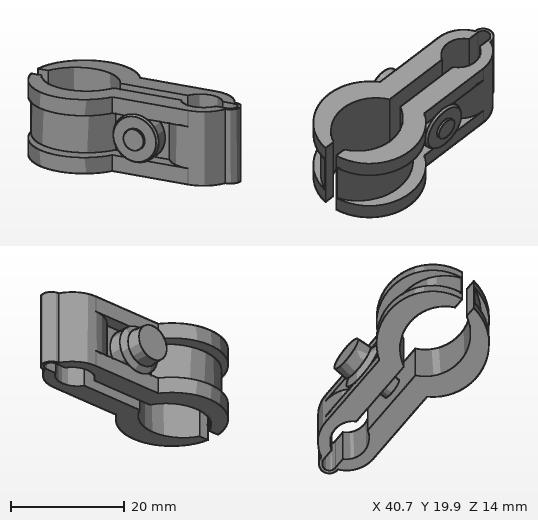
import cadquery as cq
import math

length = 40.7
height = 14.0
width = 19.9
slit_half = 1.3
arm_half = 5.45

ring_radius = width / 2
ring_x = math.sqrt(ring_radius**2 - slit_half**2)
bore_x = 9.2
bore_top = 5.75
bore_half_width = 7.15

small_x = 33.2
small_top = 3.3
small_half_width = 3.45
tail_radius = 6.15
spring_wall = 0.55
spring_outer = slit_half + spring_wall
spring_x = length - spring_outer

flange_thickness = 3.05
recess_height = height - 2 * flange_thickness
recess_floor = 2.95
ring_web = 7.57

pin_x = 22.9
seat_radius = 4.5
front_seat_end = 5.95
seat_chamfer_length = 0.5
seat_face_radius = 4.25
dome_top = 6.3

shaft_radius = 2.0
shaft_end = 6.45
neck_radius = 1.75
knob_start = 6.5
knob_end = 9.15
knob_radius = 3.55
knob_end_radius = 3.35


def lens_center_y(half_width, top):
    """Centre Y of the arc that spans half_width at the slit and peaks at top."""
    rise = top - slit_half
    return top - (half_width**2 + rise**2) / (2 * rise)


def arc_point(x, y, radius, degrees):
    angle = math.radians(degrees)
    return (x + radius * math.cos(angle), y + radius * math.sin(angle))


def circle_x_offset(radius, center_y, y):
    """Horizontal distance from a circle's centre to its edge at height y."""
    return math.sqrt(radius**2 - (y - center_y) ** 2)


def upper_intersection(x1, y1, r1, x2, y2, r2):
    """Upper crossing point of two circles, the first one lying to the left."""
    gap = math.hypot(x2 - x1, y2 - y1)
    along = (gap**2 + r1**2 - r2**2) / (2 * gap)
    across = math.sqrt(r1**2 - along**2)
    ux = (x2 - x1) / gap
    uy = (y2 - y1) / gap
    return (x1 + along * ux - across * uy, y1 + along * uy + across * ux)


def revolve_about_pin(profile):
    """Revolve a (radius, Y) profile about the pin axis."""
    return profile.close().revolve(360, (0, 0, 0), (0, 1, 0)).translate((pin_x, 0, 0))


bore_y = lens_center_y(bore_half_width, bore_top)
tail_y = arm_half - tail_radius


def jaw_blank():
    """The +Y half of the clamp at full height."""
    arm_start_x = ring_x + circle_x_offset(ring_radius, 0, arm_half)
    spring_start = upper_intersection(small_x, tail_y, tail_radius, spring_x, 0, spring_outer)
    return (
        cq.Workplane("XY").workplane(offset=-height / 2)
        .moveTo(0, slit_half)
        .threePointArc((ring_x, ring_radius), (arm_start_x, arm_half))
        .lineTo(small_x, arm_half)
        .threePointArc(arc_point(small_x, tail_y, tail_radius, 60), spring_start)
        .threePointArc(arc_point(spring_x, 0, spring_outer, 45), (length, 0))
        .lineTo(length - spring_wall, 0)
        .threePointArc(arc_point(spring_x, 0, slit_half, 45), (spring_x, slit_half))
        .lineTo(small_x + small_half_width, slit_half)
        .threePointArc((small_x, small_top), (small_x - small_half_width, slit_half))
        .lineTo(bore_x + bore_half_width, slit_half)
        .threePointArc((bore_x, bore_top), (bore_x - bore_half_width, slit_half))
        .close()
        .extrude(height)
    )


def side_recess():
    """Recess concentric with the bore at one end and the tail at the other."""
    web_radius = ring_web - bore_y
    tip_x = bore_x - circle_x_offset(web_radius, bore_y, slit_half)
    floor_start_x = bore_x + circle_x_offset(web_radius, bore_y, recess_floor)
    floor_end_x = small_x - circle_x_offset(tail_radius, tail_y, recess_floor)
    return (
        cq.Workplane("XY").workplane(offset=-recess_height / 2)
        .moveTo(tip_x, slit_half)
        .threePointArc((bore_x, ring_web), (floor_start_x, recess_floor))
        .lineTo(floor_end_x, recess_floor)
        .threePointArc(arc_point(small_x, tail_y, tail_radius, 120), (small_x, arm_half))
        .lineTo(small_x, width)
        .lineTo(tip_x, width)
        .close()
        .extrude(recess_height)
    )


def front_seat():
    """Round boss with a tapered rim on the -Y jaw."""
    return revolve_about_pin(
        cq.Workplane("XY")
        .moveTo(0, -recess_floor)
        .lineTo(seat_radius, -recess_floor)
        .lineTo(seat_radius, -front_seat_end + seat_chamfer_length)
        .lineTo(seat_face_radius, -front_seat_end)
        .lineTo(0, -front_seat_end)
    )


def domed_seat():
    """Round boss with a spherical cap on the +Y jaw; the cap peaks at the pin hole."""
    drop = dome_top - arm_half
    sphere_y = (dome_top + arm_half) / 2 - (seat_radius**2 - shaft_radius**2) / (2 * drop)
    sphere_radius = math.hypot(seat_radius, arm_half - sphere_y)
    mid_radius = (seat_radius + shaft_radius) / 2
    mid_y = sphere_y + math.sqrt(sphere_radius**2 - mid_radius**2)
    return revolve_about_pin(
        cq.Workplane("XY")
        .moveTo(0, recess_floor)
        .lineTo(seat_radius, recess_floor)
        .lineTo(seat_radius, arm_half)
        .threePointArc((mid_radius, mid_y), (shaft_radius, dome_top))
        .lineTo(0, dome_top)
    )


def make_clamp():
    jaw = jaw_blank().cut(side_recess())
    pin_hole = (
        cq.Workplane("XZ").center(pin_x, 0)
        .circle(shaft_radius)
        .extrude(length / 2, both=True)
    )
    return (
        jaw.union(jaw.mirror("XZ"))
        .union(front_seat())
        .union(domed_seat())
        .cut(pin_hole)
    )


def make_pin():
    """Shaft with a reduced neck and a slightly tapered knob at the +Y end."""
    return revolve_about_pin(
        cq.Workplane("XY")
        .moveTo(0, -shaft_end)
        .lineTo(shaft_radius, -shaft_end)
        .lineTo(shaft_radius, dome_top)
        .lineTo(neck_radius, dome_top)
        .lineTo(neck_radius, knob_start)
        .lineTo(knob_radius, knob_start)
        .lineTo(knob_end_radius, knob_end)
        .lineTo(0, knob_end)
    )


clamp = make_clamp()
pin = make_pin()
result = cq.Compound.makeCompound([clamp.solids().val(), pin.val()])